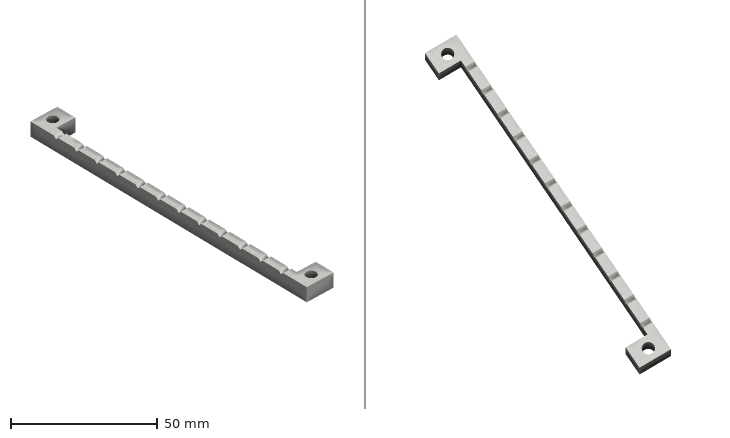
import cadquery as cq

length = 137.2
depth = 12.8
height = 6.3

bar_depth = 3.8
tab_width = 8.9
hole_diameter = 4.5

groove_count = 12
groove_pitch = 10.1
groove_width = 2.0
groove_depth = groove_width / 2


def box_from_corner(x_size, y_size, x_start):
    """Full-height block standing on Z = 0 with its front face at Y = 0."""
    block = cq.Workplane("XY").box(x_size, y_size, height, centered=False)
    return block.translate((x_start, 0, 0))


def v_groove(x_center):
    """Triangular cutter running through the bar along Y."""
    profile = [
        (x_center - groove_width / 2, height),
        (x_center, height - groove_depth),
        (x_center + groove_width / 2, height),
    ]
    return cq.Workplane("XZ").polyline(profile).close().extrude(-bar_depth)


body = box_from_corner(length, bar_depth, -length / 2)
body = body.union(box_from_corner(tab_width, depth, -length / 2))
body = body.union(box_from_corner(tab_width, depth, length / 2 - tab_width))

hole_x = (length - tab_width) / 2
holes = (
    cq.Workplane("XY")
    .pushPoints([(-hole_x, depth / 2), (hole_x, depth / 2)])
    .circle(hole_diameter / 2)
    .extrude(height)
)
body = body.cut(holes)

first_groove_x = -(groove_count - 1) * groove_pitch / 2
for index in range(groove_count):
    body = body.cut(v_groove(first_groove_x + index * groove_pitch))

result = body